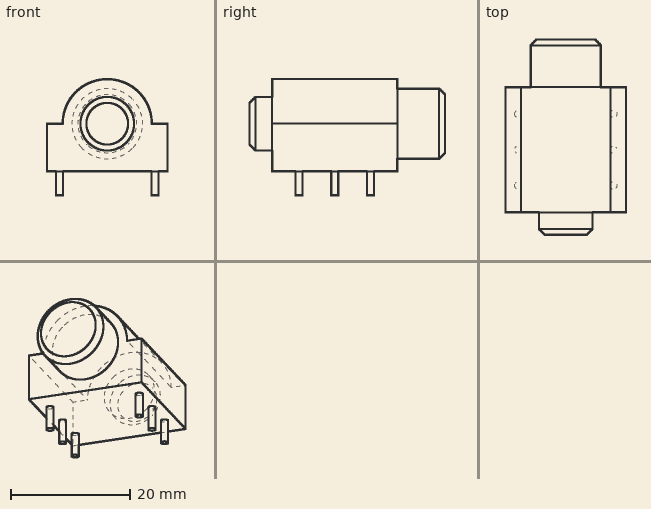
import cadquery as cq

base_width = 20.2
base_height = 8.0
body_length = 21.0
dome_radius = 7.5

front_diameter = 9.0
front_length = 3.8
rear_diameter = 11.8
rear_length = 8.0
end_chamfer = 1.0

pin_diameter = 1.2
pin_length = 4.0
pin_row_spacing = 16.0
pin_pitch = 6.0
pins_per_row = 3

axis_height = base_height
front_face_y = -body_length / 2
rear_face_y = body_length / 2


def make_housing():
    """Extrude the base-and-dome outline from the rear face to the front face."""
    half_width = base_width / 2
    outline = (
        cq.Workplane("XZ", origin=(0, rear_face_y, 0))
        .moveTo(-half_width, 0)
        .lineTo(half_width, 0)
        .lineTo(half_width, base_height)
        .lineTo(dome_radius, base_height)
        .threePointArc((0, axis_height + dome_radius), (-dome_radius, base_height))
        .lineTo(-half_width, base_height)
        .close()
    )
    return outline.extrude(body_length)


def make_front_end():
    """Short cylinder toward -Y with a chamfered tip."""
    return (
        cq.Workplane("XZ", origin=(0, front_face_y, axis_height))
        .circle(front_diameter / 2)
        .extrude(front_length)
        .faces("<Y")
        .chamfer(end_chamfer)
    )


def make_rear_end():
    """Longer cylinder toward +Y with a chamfered tip."""
    return (
        cq.Workplane("XZ", origin=(0, rear_face_y, axis_height))
        .circle(rear_diameter / 2)
        .extrude(-rear_length)
        .faces(">Y")
        .chamfer(end_chamfer)
    )


def make_pins():
    """Two rows of straight round pins pointing down from the base."""
    return (
        cq.Workplane("XY")
        .rarray(pin_row_spacing, pin_pitch, 2, pins_per_row)
        .circle(pin_diameter / 2)
        .extrude(-pin_length)
    )


result = make_housing().union(make_front_end()).union(make_rear_end()).union(make_pins())